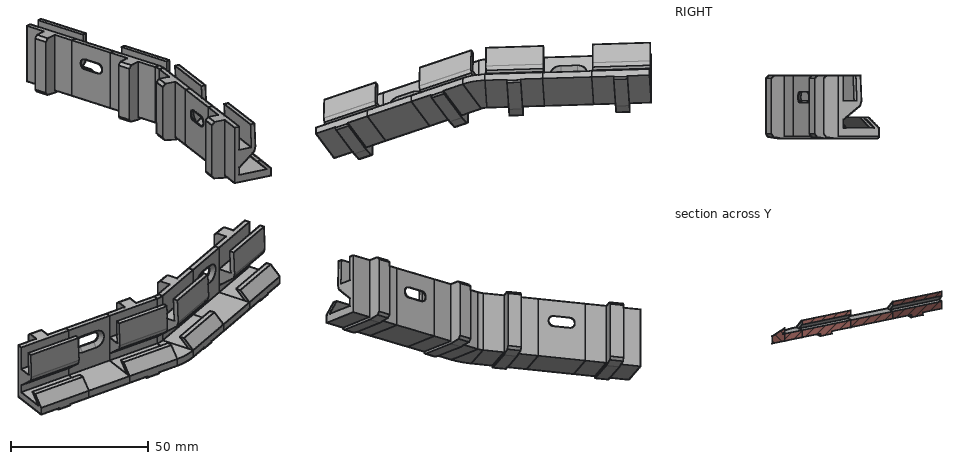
import cadquery as cq

bend_angle = 24.0
bend_inner_radius = 5.0
clip_length = 21.0
middle_length = 18.0

depth = 15.0
height = 22.1
wall = 2.0
floor = 3.0

lip_rise = 3.9
lip_thickness = 1.8

plate_thickness = 1.7
plate_top_y = 8.2
plate_lean = 0.4
slot_bottom_z = 12.9
wedge_top_y = 8.1
wedge_top_z = 11.0
wedge_bottom_z = 5.9

rib_width = 5.0
rib_reach = 5.2
rib_top_chamfer = 1.1
rib_toe_setback = 0.9
rib_toe_top_z = 0.7
rib_toe_bottom_z = -0.4
runner_drop = 1.0
runner_end_chamfer = 0.6

hole_length = 10.0
hole_height = 3.9
hole_z = 14.1
hole_straight_depth = 0.4
countersink_slope = 45.0

inner_clip_x = 0.0
middle_x = clip_length
outer_clip_x = clip_length + middle_length


def extrude_along_x(points, start, length):
    """Extrude a (y, z) outline along +X."""
    return cq.Workplane("YZ", origin=(start, 0, 0)).polyline(points).close().extrude(length)


def base_outline():
    """L-shaped section of wall and floor."""
    return [
        (0, 0),
        (depth, 0),
        (depth, floor),
        (wall, floor),
        (wall, height),
        (0, height),
    ]


def clip_outline():
    """Wall and floor with the sloping lip and the wedge that carries the leaning plate."""
    lip_top_y = depth - lip_rise
    lip_top_z = floor + lip_rise
    plate_bottom_y = plate_top_y + plate_lean
    return [
        (0, 0),
        (depth, 0),
        (depth, floor),
        (lip_top_y, lip_top_z),
        (lip_top_y - lip_thickness, lip_top_z),
        (depth - lip_thickness, floor),
        (wall, floor),
        (wall, wedge_bottom_z),
        (wedge_top_y, wedge_top_z),
        (plate_bottom_y, slot_bottom_z),
        (plate_top_y, height),
        (plate_top_y - plate_thickness, height),
        (plate_bottom_y - plate_thickness, slot_bottom_z),
        (wall, slot_bottom_z),
        (wall, height),
        (0, height),
    ]


def rib_outline():
    """Rib with a chamfered top and toe, joined to the runner under the floor."""
    return [
        (0, height),
        (rib_top_chamfer - rib_reach, height),
        (-rib_reach, height - rib_top_chamfer),
        (-rib_reach, rib_toe_top_z),
        (rib_toe_setback - rib_reach, rib_toe_bottom_z),
        (0, -runner_drop),
        (depth - runner_end_chamfer, -runner_drop),
        (depth, runner_end_chamfer - runner_drop),
        (depth, 0),
        (0, 0),
    ]


def make_clip(start):
    """Clip piece with its rib at mid-length."""
    body = extrude_along_x(clip_outline(), start, clip_length)
    rib_start = start + (clip_length - rib_width) / 2
    return body.union(extrude_along_x(rib_outline(), rib_start, rib_width))


def make_hole(center_x):
    """Cutter for the oblong hole: straight at the front, then widening to the back of the wall."""
    straight = (
        cq.Workplane("XZ", origin=(center_x, 0, hole_z))
        .slot2D(hole_length, hole_height)
        .extrude(-hole_straight_depth)
    )
    countersink = (
        cq.Workplane("XZ", origin=(center_x, hole_straight_depth, hole_z))
        .slot2D(hole_length, hole_height)
        .extrude(hole_straight_depth - wall, taper=-countersink_slope)
    )
    return straight.union(countersink)


def make_middle(start):
    """Plain wall and floor with a countersunk oblong hole through the wall."""
    body = extrude_along_x(base_outline(), start, middle_length)
    return body.cut(make_hole(start + middle_length / 2))


def make_corner():
    """Wall and floor swept through the bend, starting at the end of the right arm."""
    return (
        cq.Workplane("YZ")
        .polyline(base_outline())
        .close()
        .revolve(bend_angle, (-bend_inner_radius, 0), (-bend_inner_radius, 1))
    )


def turn_to_left_arm(piece):
    """Swing a piece built along -X about the bend axis."""
    return piece.rotate((0, -bend_inner_radius, 0), (0, -bend_inner_radius, 1), bend_angle)


clips = []
for clip_x in (inner_clip_x, outer_clip_x):
    clips.append(make_clip(clip_x))
    clips.append(turn_to_left_arm(make_clip(-clip_x - clip_length)))

middles = [
    make_middle(middle_x),
    turn_to_left_arm(make_middle(-middle_x - middle_length)),
]

corner = make_corner()

result = cq.Compound.makeCompound([body.val() for body in [*clips, *middles, corner]])